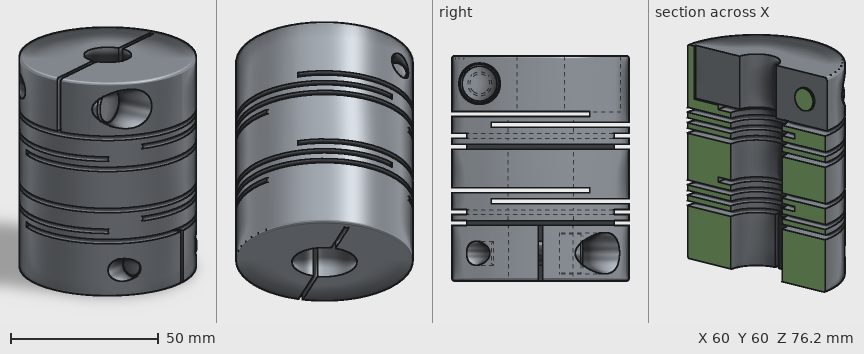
import cadquery as cq
import math

BODY_DIAMETER = 60.0
BODY_LENGTH = 76.2
BODY_RADIUS = BODY_DIAMETER / 2
EDGE_ROUND = 1.0
HUB_LENGTH = 18.85
UPPER_HUB_BASE = BODY_LENGTH - HUB_LENGTH
UPPER_BORE_DIAMETER = 16.0
LOWER_BORE_DIAMETER = 22.0

SLIT_HEIGHT = 1.6
SLIT_PITCH = 3.7
SLIT_TURNS = (0, 180, -90, 90)
SLIT_HALF_CHORD = 25.0
SLIT_REACH = math.sqrt(BODY_RADIUS**2 - SLIT_HALF_CHORD**2)
GROUP_HEIGHT = (len(SLIT_TURNS) - 1) * SLIT_PITCH + SLIT_HEIGHT

CLAMP_GAP = 1.5
CLAMP_GAP_REACH = 27.0
SCREW_OFFSET = 20.6
SCREW_DIAMETER = 8.1
COUNTERBORE_DIAMETER = 14.0
HEAD_DIAMETER = 13.2
HEAD_HEIGHT = 8.0
HEAD_END = 14.3
HEAD_BASE = HEAD_END - HEAD_HEIGHT
HEAD_CHAMFER = 0.7
SCREW_LENGTH = 31.0
TIP_END = HEAD_END - SCREW_LENGTH
TIP_CHAMFER = 0.7
LOWER_CLAMP_TURN = 90


def turned(shape, angle):
    """Turn a shape about the coupling axis."""
    return shape.rotate((0, 0, 0), (0, 0, 1), angle)


def rod_along_x(diameter, start, end, z):
    """Cylinder parallel to X on the clamp screw axis."""
    plane = cq.Workplane("YZ", origin=(start, -SCREW_OFFSET, z))
    return plane.circle(diameter / 2).extrude(end - start)


def body():
    """Round bar with rounded end edges and a stepped bore."""
    bar = cq.Workplane("XY").circle(BODY_RADIUS).extrude(BODY_LENGTH)
    bar = bar.faces("<Z or >Z").edges().fillet(EDGE_ROUND)
    upper_bore = cq.Workplane("XY").circle(UPPER_BORE_DIAMETER / 2).extrude(BODY_LENGTH)
    lower_bore = cq.Workplane("XY").circle(LOWER_BORE_DIAMETER / 2).extrude(UPPER_HUB_BASE)
    return bar.cut(upper_bore).cut(lower_bore)


def flexure_slit(top_z, turn):
    """Flat cut open towards -Y before turning, ending at SLIT_REACH beyond the axis."""
    depth = BODY_RADIUS + SLIT_REACH
    cut = cq.Workplane("XY").box(BODY_DIAMETER, depth, SLIT_HEIGHT, centered=(True, False, False))
    cut = cut.translate((0, -BODY_RADIUS, top_z - SLIT_HEIGHT))
    return turned(cut, turn)


def clamp_gap(bottom_z):
    """Split through one hub, open towards -Y before turning."""
    depth = BODY_RADIUS + CLAMP_GAP_REACH
    cut = cq.Workplane("XY").box(CLAMP_GAP, depth, HUB_LENGTH, centered=(True, False, False))
    return cut.translate((0, -BODY_RADIUS, bottom_z))


def screw_hole(z):
    """Cross hole with a counterbore that opens towards +X."""
    hole = rod_along_x(SCREW_DIAMETER, -BODY_RADIUS, BODY_RADIUS, z)
    counterbore = rod_along_x(COUNTERBORE_DIAMETER, HEAD_BASE, BODY_RADIUS, z)
    return hole.union(counterbore)


def screw(z):
    """Cap screw with its head towards +X and chamfered ends."""
    shank = rod_along_x(SCREW_DIAMETER, TIP_END, HEAD_BASE, z)
    shank = shank.faces("<X").chamfer(TIP_CHAMFER)
    head = rod_along_x(HEAD_DIAMETER, HEAD_BASE, HEAD_END, z)
    head = head.faces(">X").chamfer(HEAD_CHAMFER)
    return shank.union(head)


def add_clamp(part, bottom_z, turn):
    """Split one hub and fit its clamp screw."""
    screw_z = bottom_z + HUB_LENGTH / 2
    part = part.cut(turned(clamp_gap(bottom_z), turn))
    part = part.cut(turned(screw_hole(screw_z), turn))
    return part.union(turned(screw(screw_z), turn))


result = body()
for group_top in (UPPER_HUB_BASE, HUB_LENGTH + GROUP_HEIGHT):
    for index, slit_turn in enumerate(SLIT_TURNS):
        result = result.cut(flexure_slit(group_top - index * SLIT_PITCH, slit_turn))
result = add_clamp(result, UPPER_HUB_BASE, 0)
result = add_clamp(result, 0, LOWER_CLAMP_TURN)